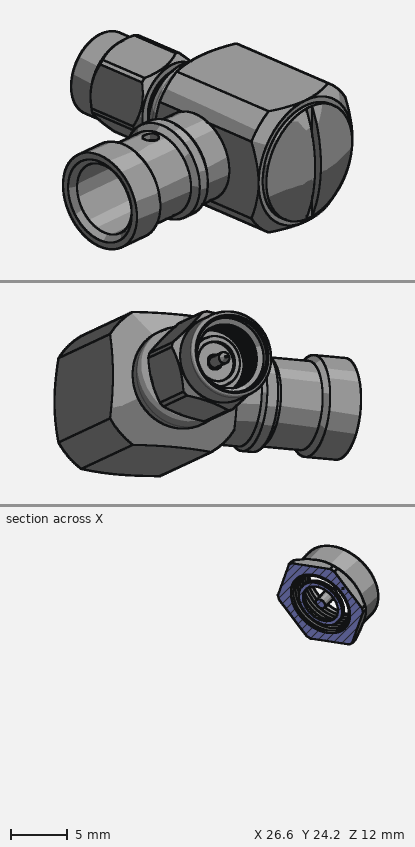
import cadquery as cq
import math


BODY_SIZE = 12.0
BODY_HALF = BODY_SIZE / 2
BODY_CORNER_RADIUS = 7.1
BODY_START = 11.5
BODY_END = 25.1
NOSE_ANGLE = 30
TAIL_BEVEL = 0.88

CAP_RADIUS = 5.48
CAP_RIM_END = 25.55
CAP_END = 26.6
SLOT_WIDTH = 0.75

COLLAR_RADIUS = 4.5
COLLAR_START = 9.69
COLLAR_ROUND = 0.95
NECK_RADIUS = 3.2

NUT_RADIUS = 3.89
NUT_ROUND = 0.3
HEX_START = 2.55
HEX_END = 8.9
HEX_FLATS = 8.0
HEX_CORNER_RADIUS = 4.5
HEX_TURN = 14
HEX_BEVEL = HEX_CORNER_RADIUS - NUT_RADIUS

MOUTH_RADIUS = 3.38
MOUTH_BEVEL = 0.13
MOUTH_DEPTH = 0.75
SOCKET_RADIUS = 2.87
THREAD_ANGLE = 60
SOCKET_DEPTH = 4.0
THREAD_START = 1.1
THREAD_COUNT = 7
THREAD_PITCH = (SOCKET_DEPTH - THREAD_START) / THREAD_COUNT
THREAD_DEPTH = THREAD_PITCH / 2 / math.tan(math.radians(THREAD_ANGLE / 2))

SLEEVE_RADIUS = 2.25
SLEEVE_BORE_RADIUS = 1.78
SLEEVE_START = 3.38
INSULATOR_START = 3.73
PIN_RADIUS = 0.5
PIN_TIP_RADIUS = 0.08
PIN_START = 1.3
PIN_TAPER = 0.43
PIN_GAP_RADIUS = 0.67
PIN_GAP_END = 3.85

OVERALL_DEPTH = 24.2
OUTLET_X = 17.38
OUTLET_END = OVERALL_DEPTH - BODY_HALF
OUTLET_RADIUS = 4.15
BEAD_RADIUS = 4.52
WAIST_RADIUS = 3.96
BEAD_FOOT = 8.75
BEAD_START = 9.13
BEAD_END = 10.17
WAIST_START = 10.7
WAIST_END = 14.72
RIM_START = 15.2
OUTLET_BORE_RADIUS = 3.33
OUTLET_MOUTH_RADIUS = 3.89
OUTLET_MOUTH_BEVEL = OUTLET_MOUTH_RADIUS - OUTLET_BORE_RADIUS
VENT_RADIUS = 0.72
VENT_Y = -11.7


def turned_x(profile):
    """Revolve a closed (x, radius) outline about the X axis."""
    return cq.Workplane("XY").polyline(profile).close().revolve(360, (0, 0, 0), (1, 0, 0))


def cylinder_x(radius, start, end):
    return cq.Workplane("YZ", origin=(start, 0, 0)).circle(radius).extrude(end - start)


def make_body():
    """Square bar with turned corners, a conical nose and a bevelled tail."""
    bar = (
        cq.Workplane("YZ", origin=(BODY_START, 0, 0))
        .rect(BODY_SIZE, BODY_SIZE)
        .extrude(BODY_END - BODY_START)
    )
    nose_length = (BODY_CORNER_RADIUS - COLLAR_RADIUS) * math.tan(math.radians(NOSE_ANGLE))
    envelope = turned_x([
        (BODY_START, 0),
        (BODY_START, COLLAR_RADIUS),
        (BODY_START + nose_length, BODY_CORNER_RADIUS),
        (BODY_END - TAIL_BEVEL, BODY_CORNER_RADIUS),
        (BODY_END, BODY_HALF),
        (BODY_END, 0),
    ])
    return bar.intersect(envelope)


def make_cap():
    """Domed cap with a screwdriver slot across its dome."""
    dome_height = CAP_END - CAP_RIM_END
    slot_edge = SLOT_WIDTH / 2
    center_x = (CAP_END**2 + slot_edge**2 - CAP_RIM_END**2 - CAP_RADIUS**2) / (2 * dome_height)
    dome_radius = math.hypot(CAP_END - center_x, slot_edge)
    mid_radius = CAP_RADIUS / 2
    mid_x = center_x + math.sqrt(dome_radius**2 - mid_radius**2)
    cap = (
        cq.Workplane("XY")
        .moveTo(BODY_END, 0)
        .lineTo(BODY_END, CAP_RADIUS)
        .lineTo(CAP_RIM_END, CAP_RADIUS)
        .threePointArc((mid_x, mid_radius), (CAP_END, slot_edge))
        .lineTo(CAP_END, 0)
        .close()
        .revolve(360, (0, 0, 0), (1, 0, 0))
    )
    slot = (
        cq.Workplane("YZ", origin=(CAP_RIM_END, 0, 0))
        .rect(SLOT_WIDTH, 2 * CAP_RADIUS)
        .extrude(dome_height)
    )
    return cap.cut(slot)


def make_collar():
    """Neck behind the nut and the collar with a rounded front edge."""
    neck = cylinder_x(NECK_RADIUS, HEX_END, COLLAR_START)
    collar = cylinder_x(COLLAR_RADIUS, COLLAR_START, BODY_START).faces("<X").edges().fillet(COLLAR_ROUND)
    return neck.union(collar)


def make_nut():
    """Round front barrel and a bevelled hexagon with turned corners."""
    barrel = cylinder_x(NUT_RADIUS, 0, HEX_START).faces("<X").edges().fillet(NUT_ROUND)
    hexagon = (
        cq.Workplane("YZ", origin=(HEX_START, 0, 0))
        .polygon(6, HEX_FLATS / math.cos(math.pi / 6))
        .extrude(HEX_END - HEX_START)
        .rotate((0, 0, 0), (1, 0, 0), HEX_TURN)
    )
    envelope = cylinder_x(HEX_CORNER_RADIUS, HEX_START, HEX_END).edges().chamfer(HEX_BEVEL)
    return barrel.union(hexagon.intersect(envelope))


def make_socket():
    """Space inside the nut: bevelled mouth followed by ring-shaped thread grooves."""
    outline = [
        (0, 0),
        (0, MOUTH_RADIUS + MOUTH_BEVEL),
        (MOUTH_BEVEL, MOUTH_RADIUS),
        (MOUTH_DEPTH, MOUTH_RADIUS),
        (THREAD_START, SOCKET_RADIUS),
    ]
    for groove in range(THREAD_COUNT):
        groove_start = THREAD_START + groove * THREAD_PITCH
        outline.append((groove_start + THREAD_PITCH / 2, SOCKET_RADIUS + THREAD_DEPTH))
        outline.append((groove_start + THREAD_PITCH, SOCKET_RADIUS))
    outline.append((SOCKET_DEPTH, 0))
    return turned_x(outline)


def make_contact():
    """Sleeve, recessed insulator and pointed pin standing on the socket floor."""
    return turned_x([
        (PIN_START, 0),
        (PIN_START, PIN_TIP_RADIUS),
        (PIN_START + PIN_TAPER, PIN_RADIUS),
        (PIN_GAP_END, PIN_RADIUS),
        (PIN_GAP_END, PIN_GAP_RADIUS),
        (INSULATOR_START, PIN_GAP_RADIUS),
        (INSULATOR_START, SLEEVE_BORE_RADIUS),
        (SLEEVE_START, SLEEVE_BORE_RADIUS),
        (SLEEVE_START, SLEEVE_RADIUS),
        (SOCKET_DEPTH, SLEEVE_RADIUS),
        (SOCKET_DEPTH, 0),
    ])


def turned_outlet(profile):
    """Revolve a closed (radius, distance) outline about the outlet axis."""
    points = [(OUTLET_X + radius, -distance) for radius, distance in profile]
    return (
        cq.Workplane("XY")
        .polyline(points)
        .close()
        .revolve(360, (OUTLET_X, 0, 0), (OUTLET_X, 1, 0))
    )


def make_outlet():
    """Beaded tube with a bore ending at the body and one vent hole on top."""
    tube = turned_outlet([
        (0, BODY_HALF),
        (OUTLET_RADIUS, BODY_HALF),
        (OUTLET_RADIUS, BEAD_FOOT),
        (BEAD_RADIUS, BEAD_START),
        (BEAD_RADIUS, BEAD_END),
        (WAIST_RADIUS, WAIST_START),
        (WAIST_RADIUS, WAIST_END),
        (BEAD_RADIUS, RIM_START),
        (BEAD_RADIUS, OUTLET_END),
        (0, OUTLET_END),
    ])
    bore = turned_outlet([
        (0, BODY_HALF),
        (OUTLET_BORE_RADIUS, BODY_HALF),
        (OUTLET_BORE_RADIUS, OUTLET_END - OUTLET_MOUTH_BEVEL),
        (OUTLET_MOUTH_RADIUS, OUTLET_END),
        (0, OUTLET_END),
    ])
    vent = (
        cq.Workplane("XY", origin=(OUTLET_X, VENT_Y, 0))
        .circle(VENT_RADIUS)
        .extrude(WAIST_RADIUS)
    )
    return tube.cut(bore).cut(vent)


nut = make_nut().cut(make_socket()).union(make_contact())
result = nut.union(make_collar()).union(make_body()).union(make_cap()).union(make_outlet())